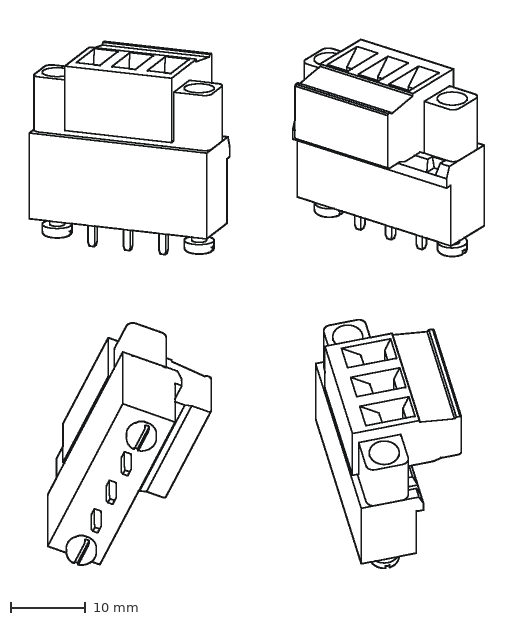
import cadquery as cq


PITCH = 5.08
POLE_X = [-PITCH, 0, PITCH]
SCREW_X = [-2 * PITCH, 2 * PITCH]
POLE_Y = 3.8

HEADER_LENGTH = 25.4
HEADER_DEPTH = 7.6
HEADER_HEIGHT = 12.0
LATCH_DEPTH = 8.6
LATCH_BOTTOM = 9.0
LATCH_BEVEL_RUN = 0.65
LATCH_BEVEL_DROP = 1.6

NOTCH_TOP_WIDTH = 2.05
NOTCH_FLOOR_WIDTH = 1.45
NOTCH_FRONT = 6.9

PLUG_LENGTH = 15.3
PLUG_FRONT = 0.05
PLUG_BACK = 15.05
PLUG_TOP = 21.9
PLUG_BOTTOM = 12.9
STEP_Y = 9.3
STEP_HEIGHT = 0.35
SLOPE_END_Y = 14.1
SLOPE_END_Z = 20.8
LIP_FRONT = 14.35
LIP_TOP = 21.1
LIP_CHAMFER = 0.2
BOTTOM_FILLET = 0.5
BELLY_Z = 12.5
BELLY_RAMP_START = 12.2
BELLY_RAMP_END = 11.2

FLANGE_DEPTH = 5.8
FLANGE_LENGTH = 25.36
FLANGE_FRONT = POLE_Y - FLANGE_DEPTH / 2
FLANGE_BACK = POLE_Y + FLANGE_DEPTH / 2
FLANGE_TOP = 19.7
FLANGE_RADIUS = 1.0
SCREW_HOLE_DIAMETER = 4.0
UPPER_SLOT_WIDTH = 0.4
UPPER_SLOT_DEPTH = 0.6

MOUTH_WIDTH = 3.4
MOUTH_FRONT = 2.1
MOUTH_BACK = 8.87
THROAT_WIDTH = 3.0
THROAT_FRONT = 4.72
THROAT_BACK = 8.0
FUNNEL_DEPTH = 2.0
THROAT_DEPTH = 4.0

PIN_WIDTH = 1.0
PIN_LENGTH = 4.0
PIN_TIP_WIDTH = 0.7
PIN_TIP_LENGTH = 0.6

SHANK_DIAMETER = 2.0
SHANK_LENGTH = 1.55
HEAD_DIAMETER = 4.0
HEAD_HEIGHT = 1.45
HEAD_FILLET = 0.45
LOWER_SLOT_WIDTH = 0.6
LOWER_SLOT_DEPTH = 0.75


def extrude_profile(points, length):
    """Extrude a closed (Y, Z) outline along X, centred on X = 0."""
    return cq.Workplane("YZ").polyline(points).close().extrude(length / 2, both=True)


def box_between(width, y_front, y_back, z_bottom, z_top):
    """Box centred on X = 0 between two Y and two Z limits."""
    size_y = y_back - y_front
    size_z = z_top - z_bottom
    box = cq.Workplane("XY").box(width, size_y, size_z, centered=(True, False, False))
    return box.translate((0, y_front, z_bottom))


def make_notch():
    """Trapezoidal notch through the latch rail, floored where the bevel meets the rail's back."""
    floor_z = HEADER_HEIGHT - LATCH_BEVEL_DROP
    points = [
        (-NOTCH_FLOOR_WIDTH / 2, floor_z),
        (NOTCH_FLOOR_WIDTH / 2, floor_z),
        (NOTCH_TOP_WIDTH / 2, HEADER_HEIGHT),
        (-NOTCH_TOP_WIDTH / 2, HEADER_HEIGHT),
    ]
    notch = cq.Workplane("XZ").polyline(points).close().extrude(-(LATCH_DEPTH - NOTCH_FRONT))
    return notch.translate((0, NOTCH_FRONT, 0))


def make_header():
    points = [
        (0, 0),
        (HEADER_DEPTH, 0),
        (HEADER_DEPTH, LATCH_BOTTOM),
        (LATCH_DEPTH, LATCH_BOTTOM),
        (LATCH_DEPTH, HEADER_HEIGHT - LATCH_BEVEL_DROP),
        (LATCH_DEPTH - LATCH_BEVEL_RUN, HEADER_HEIGHT),
        (0, HEADER_HEIGHT),
    ]
    header = extrude_profile(points, HEADER_LENGTH)
    for x in SCREW_X:
        header = header.cut(make_notch().translate((x, 0, 0)))
    return header


def make_plug():
    points = [
        (PLUG_FRONT, PLUG_BOTTOM),
        (PLUG_FRONT, PLUG_TOP),
        (STEP_Y, PLUG_TOP),
        (STEP_Y, PLUG_TOP - STEP_HEIGHT),
        (SLOPE_END_Y, SLOPE_END_Z),
        (LIP_FRONT, LIP_TOP),
        (PLUG_BACK, LIP_TOP),
        (PLUG_BACK, PLUG_BOTTOM),
        (BELLY_RAMP_START, PLUG_BOTTOM),
        (BELLY_RAMP_END, BELLY_Z),
        (HEADER_DEPTH, BELLY_Z),
        (FLANGE_BACK, HEADER_HEIGHT),
        (FLANGE_FRONT, HEADER_HEIGHT),
        (FLANGE_FRONT, PLUG_BOTTOM),
    ]
    plug = extrude_profile(points, PLUG_LENGTH)
    plug = plug.faces(">Y").edges(">Z").chamfer(LIP_CHAMFER)
    return plug.faces(">Y").edges("<Z").fillet(BOTTOM_FILLET)


def make_flange():
    """Screw flange, rounded at its four vertical corners."""
    flange = box_between(FLANGE_LENGTH, FLANGE_FRONT, FLANGE_BACK, HEADER_HEIGHT, FLANGE_TOP)
    return flange.edges("|Z").fillet(FLANGE_RADIUS)


def make_screw_hole():
    """Blind hole down to the header top, with a screwdriver slot along X in its floor."""
    depth = FLANGE_TOP - HEADER_HEIGHT
    hole = cq.Workplane("XY").circle(SCREW_HOLE_DIAMETER / 2).extrude(depth + UPPER_SLOT_DEPTH)
    block_size = 2 * SCREW_HOLE_DIAMETER
    block = cq.Workplane("XY").rect(block_size, block_size).extrude(UPPER_SLOT_DEPTH)
    slot = cq.Workplane("XY").rect(block_size, UPPER_SLOT_WIDTH).extrude(UPPER_SLOT_DEPTH)
    floor = block.cut(slot)
    return hole.cut(floor).translate((0, POLE_Y, HEADER_HEIGHT - UPPER_SLOT_DEPTH))


def make_wire_opening():
    """Funnel tapering from the mouth to the throat, then a straight blind throat."""
    mouth_y = (MOUTH_FRONT + MOUTH_BACK) / 2
    throat_y = (THROAT_FRONT + THROAT_BACK) / 2
    funnel_bottom = PLUG_TOP - FUNNEL_DEPTH
    funnel = (
        cq.Workplane("XY", origin=(0, mouth_y, PLUG_TOP))
        .rect(MOUTH_WIDTH, MOUTH_BACK - MOUTH_FRONT)
        .workplane(offset=-FUNNEL_DEPTH)
        .center(0, throat_y - mouth_y)
        .rect(THROAT_WIDTH, THROAT_BACK - THROAT_FRONT)
        .loft(ruled=True)
    )
    throat = box_between(
        THROAT_WIDTH, THROAT_FRONT, THROAT_BACK, funnel_bottom - THROAT_DEPTH, funnel_bottom
    )
    return funnel.union(throat)


def make_pin():
    """Square solder pin with a tapered tip."""
    straight_length = PIN_LENGTH - PIN_TIP_LENGTH
    pin = cq.Workplane("XY").rect(PIN_WIDTH, PIN_WIDTH).extrude(-straight_length)
    tip = (
        cq.Workplane("XY", origin=(0, 0, -straight_length))
        .rect(PIN_WIDTH, PIN_WIDTH)
        .workplane(offset=-PIN_TIP_LENGTH)
        .rect(PIN_TIP_WIDTH, PIN_TIP_WIDTH)
        .loft(ruled=True)
    )
    return pin.union(tip).translate((0, POLE_Y, 0))


def make_fixing_screw():
    """Screw hanging below the header, with a slot along X across its rounded head."""
    shank = cq.Workplane("XY").circle(SHANK_DIAMETER / 2).extrude(-SHANK_LENGTH)
    head = cq.Workplane("XY", origin=(0, 0, -SHANK_LENGTH)).circle(HEAD_DIAMETER / 2).extrude(-HEAD_HEIGHT)
    head = head.faces("<Z").edges().fillet(HEAD_FILLET)
    head_bottom = -SHANK_LENGTH - HEAD_HEIGHT
    slot = box_between(
        HEAD_DIAMETER,
        -LOWER_SLOT_WIDTH / 2,
        LOWER_SLOT_WIDTH / 2,
        head_bottom,
        head_bottom + LOWER_SLOT_DEPTH,
    )
    return shank.union(head.cut(slot)).translate((0, POLE_Y, 0))


result = make_header().union(make_flange()).union(make_plug())
for pole_x in POLE_X:
    result = result.cut(make_wire_opening().translate((pole_x, 0, 0)))
    result = result.union(make_pin().translate((pole_x, 0, 0)))
for screw_x in SCREW_X:
    result = result.cut(make_screw_hole().translate((screw_x, 0, 0)))
    result = result.union(make_fixing_screw().translate((screw_x, 0, 0)))